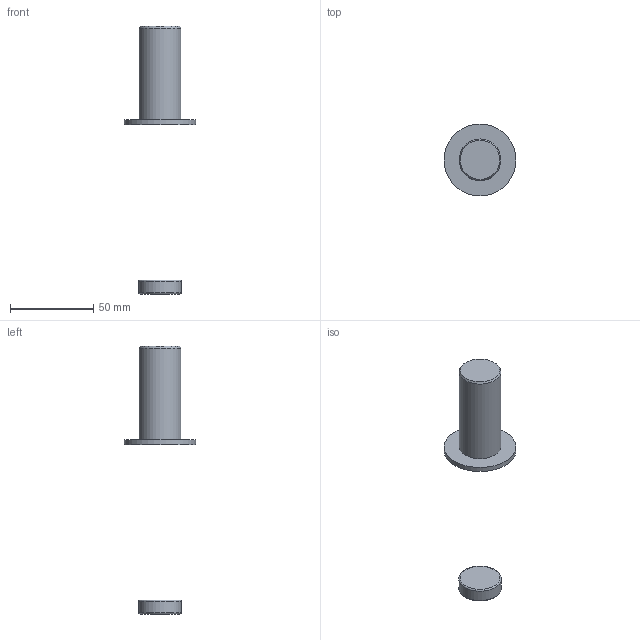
import cadquery as cq
import math

overall_height = 160.5

flange_diameter = 43.0
flange_thickness = 3.0
pin_diameter = 25.0
pin_length = 59.0
flange_underside = overall_height - pin_length

chamfer_height = 1.2
chamfer_angle_from_axis = 30.0
chamfer_width = chamfer_height * math.tan(math.radians(chamfer_angle_from_axis))

plug_diameter = 25.5
plug_height = 8.35
plug_edge_radius = 0.8


def make_flanged_pin():
    """Round pin standing on a thin flange, turned from one half profile."""
    pin_radius = pin_diameter / 2
    flange_radius = flange_diameter / 2
    flange_top = flange_underside + flange_thickness
    half_profile = (
        cq.Workplane("XZ")
        .moveTo(0, flange_underside)
        .lineTo(flange_radius, flange_underside)
        .lineTo(flange_radius, flange_top)
        .lineTo(pin_radius, flange_top)
        .lineTo(pin_radius, overall_height - chamfer_height)
        .lineTo(pin_radius - chamfer_width, overall_height)
        .lineTo(0, overall_height)
        .close()
    )
    return half_profile.revolve(360, (0, 0, 0), (0, 1, 0))


def make_plug():
    """Short disc with both rims rounded."""
    disc = cq.Workplane("XY").circle(plug_diameter / 2).extrude(plug_height)
    return disc.faces("<Z or >Z").edges().fillet(plug_edge_radius)


flanged_pin = make_flanged_pin()
plug = make_plug()

result = cq.Compound.makeCompound([flanged_pin.val(), plug.val()])